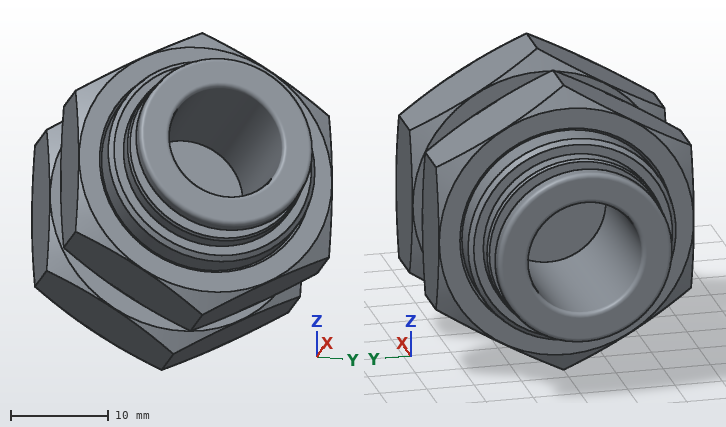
import cadquery as cq
import math

length = 34.7
flange_radius = 9.23
flange_width = 1.5
flange_round = 0.5
neck_radius = 6.52
collar_radius = 9.5
collar_end_x = 13.88
collar_chamfer_length = 0.35
collar_chamfer_depth = 0.17
thread_radius = 11.0
thread_end_x = 11.97
thread_chamfer = 0.5

socket_radius = 6.0
socket_depth = 15.6
socket_round = 0.5

nut_across_flats = 27.0
nut_width = 7.05
nut_center_x = 5.62
nut_face_radius = 13.45
nut_corner_angle = 30.0
nut_bore_chamfer = 0.28


def x_cylinder(start_x, end_x, radius):
    """Cylinder on the X axis between two X positions."""
    return cq.Workplane("YZ", origin=(start_x, 0, 0)).circle(radius).extrude(end_x - start_x)


def make_end():
    """Collar, neck, flange and rounded mouth at the +X end of the body."""
    end_x = length / 2
    flange_x = end_x - flange_width
    collar = (
        x_cylinder(thread_end_x, collar_end_x, collar_radius)
        .faces(">X")
        .edges()
        .chamfer(collar_chamfer_length, collar_chamfer_depth)
    )
    neck = x_cylinder(collar_end_x, flange_x, neck_radius)
    flange = x_cylinder(flange_x, end_x, flange_radius).faces(">X").edges().fillet(flange_round)
    bore = x_cylinder(thread_end_x, end_x, socket_radius)
    end = collar.union(neck).union(flange).cut(bore)
    mouth = cq.selectors.RadiusNthSelector(0)
    return end.faces(">X").edges(mouth).fillet(socket_round)


def make_body():
    """Fitting body: threaded middle with a socket into each side and an end at each side."""
    thread = x_cylinder(-thread_end_x, thread_end_x, thread_radius)
    thread = thread.faces("<X or >X").chamfer(thread_chamfer)
    socket = x_cylinder(length / 2 - socket_depth, thread_end_x, socket_radius)
    end = make_end()
    threaded_middle = thread.cut(socket).cut(socket.mirror("YZ"))
    return threaded_middle.union(end).union(end.mirror("YZ"))


def make_corner_cone():
    """Turned envelope that bevels the corners of a nut at both faces."""
    half_width = nut_width / 2
    middle_radius = nut_face_radius + half_width / math.tan(math.radians(nut_corner_angle))
    return (
        cq.Workplane("XY")
        .moveTo(-half_width, 0)
        .lineTo(-half_width, nut_face_radius)
        .lineTo(0, middle_radius)
        .lineTo(half_width, nut_face_radius)
        .lineTo(half_width, 0)
        .close()
        .revolve(360, (0, 0, 0), (1, 0, 0))
    )


def make_nut(center_x):
    """Hexagonal nut with corners at +Z and -Z and a bore chamfered at both faces."""
    across_corners = nut_across_flats / math.cos(math.pi / 6)
    hexagon = (
        cq.Workplane("YZ", origin=(-nut_width / 2, 0, 0))
        .transformed(rotate=(0, 0, 90))
        .polygon(6, across_corners)
        .extrude(nut_width)
    )
    bore = x_cylinder(-nut_width / 2, nut_width / 2, thread_radius)
    nut = hexagon.intersect(make_corner_cone()).cut(bore)
    bore_rim = cq.selectors.RadiusNthSelector(0)
    for face in ("<X", ">X"):
        nut = nut.faces(face).edges(bore_rim).chamfer(nut_bore_chamfer)
    return nut.translate((center_x, 0, 0))


body = make_body()
nuts = [make_nut(center_x) for center_x in (-nut_center_x, nut_center_x)]

result = cq.Compound.makeCompound([body.solids().val(), *[nut.solids().val() for nut in nuts]])